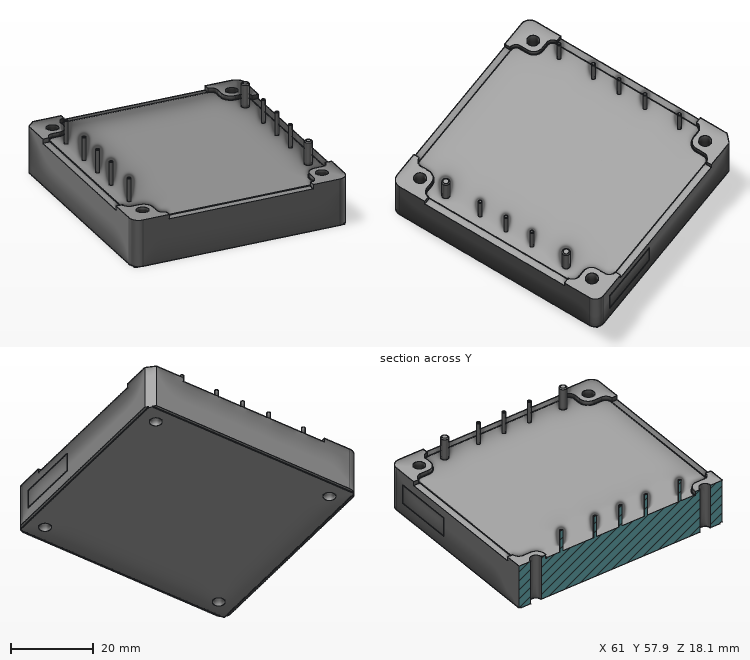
import cadquery as cq

LENGTH = 60.95
WIDTH = 57.9
HEIGHT = 18.15
CORNER_RADIUS = 2.5
CORNER_CHAMFER = 2.0

CASE_BOTTOM = 0.3
CASE_TOP = 12.8
RIM_DEPTH = 1.15
COVER_STEP = 0.25
RIM_TOP = CASE_TOP - RIM_DEPTH
COVER_TOP = RIM_TOP + COVER_STEP

BASE_INSET = 0.7

PAD_LENGTH = 8.1
PAD_WIDTH = 7.85
PAD_RADIUS = 2.5
PAD_FLARE_RADIUS = 1.75
RIM_WIDTH_X = 1.6
RIM_WIDTH_Y = 1.7
COVER_GAP = 0.25

HOLE_DIAMETER = 3.1
HOLE_X = 25.35
HOLE_Y = 24.1

PIN_ROW_Y = HOLE_Y
OUTER_PIN_X = 17.75
INNER_PIN_X = 7.6
SMALL_PIN_DIAMETER = 1.0
SMALL_PIN_CHAMFER = 0.2
LARGE_PIN_DIAMETER = 2.0
LARGE_PIN_CHAMFER = 0.3

LABEL_LENGTH = 16.95
LABEL_HEIGHT = 5.4
LABEL_Y = 15.4
LABEL_Z = 6.4
LABEL_DEPTH = 0.1


def block(length, width, bottom, top):
    """Box centred in X and Y between two levels."""
    return cq.Workplane("XY").workplane(offset=bottom).rect(length, width).extrude(top - bottom)


def case_outline(bottom, top):
    """Prism with three rounded corners and a chamfer at the -X -Y corner."""
    body = block(LENGTH, WIDTH, bottom, top)
    body = body.edges("|Z and (>X or >Y)").fillet(CORNER_RADIUS)
    return body.edges("|Z and <X and <Y").chamfer(CORNER_CHAMFER)


def cross(bottom, top, inset=0.0):
    """Rounded cross filling the space between the four pads, shrunk by an inset."""
    arm_x = LENGTH - 2 * (RIM_WIDTH_X + inset)
    arm_y = WIDTH - 2 * (RIM_WIDTH_Y + inset)
    pad_gap_x = LENGTH - 2 * (PAD_LENGTH + inset)
    pad_gap_y = WIDTH - 2 * (PAD_WIDTH + inset)
    flare_radius = PAD_FLARE_RADIUS - inset
    along_x = block(arm_x, pad_gap_y, bottom, top).edges("|Z").fillet(flare_radius)
    along_y = block(pad_gap_x, arm_y, bottom, top).edges("|Z").fillet(flare_radius)
    reach_x = pad_gap_x / 2 + flare_radius / 2
    reach_y = pad_gap_y / 2 + flare_radius / 2
    inner_corners = cq.selectors.BoxSelector((-reach_x, -reach_y, bottom), (reach_x, reach_y, top))
    shape = along_x.union(along_y)
    return shape.edges("|Z").edges(inner_corners).fillet(PAD_RADIUS + inset)


def rim_recess():
    """Space above the rim: the cross, opened straight out through all four sides."""
    open_x = LENGTH - 2 * (PAD_LENGTH + PAD_FLARE_RADIUS)
    open_y = WIDTH - 2 * (PAD_WIDTH + PAD_FLARE_RADIUS)
    recess = cross(RIM_TOP, CASE_TOP)
    recess = recess.union(block(LENGTH, open_y, RIM_TOP, CASE_TOP))
    return recess.union(block(open_x, WIDTH, RIM_TOP, CASE_TOP))


def base_plate():
    """Plate inset from the case sides and kept within the case corners."""
    plate = block(LENGTH - 2 * BASE_INSET, WIDTH - 2 * BASE_INSET, 0, CASE_BOTTOM)
    return plate.intersect(case_outline(0, CASE_BOTTOM))


def pins(points, diameter, chamfer):
    """Upright pins with chamfered tips, standing in the cover."""
    posts = cq.Workplane("XY").workplane(offset=RIM_TOP).pushPoints(points)
    return posts.circle(diameter / 2).extrude(HEIGHT - RIM_TOP).faces(">Z").chamfer(chamfer)


def label_recess():
    """Rectangular cutter for the label on the -X side."""
    cutter = cq.Workplane("XY").box(2 * LABEL_DEPTH, LABEL_LENGTH, LABEL_HEIGHT)
    return cutter.translate((-LENGTH / 2, LABEL_Y, LABEL_Z))


result = case_outline(CASE_BOTTOM, CASE_TOP).cut(rim_recess())
result = result.union(cross(RIM_TOP, COVER_TOP, COVER_GAP))
result = result.union(base_plate()).cut(label_recess())

holes = cq.Workplane("XY").rect(2 * HOLE_X, 2 * HOLE_Y, forConstruction=True).vertices()
result = result.cut(holes.circle(HOLE_DIAMETER / 2).extrude(CASE_TOP))

inner_columns = [-INNER_PIN_X, 0, INNER_PIN_X]
outer_columns = [-OUTER_PIN_X, OUTER_PIN_X]
large_points = [(x, PIN_ROW_Y) for x in outer_columns]
small_points = [(x, y) for x in inner_columns for y in (-PIN_ROW_Y, PIN_ROW_Y)]
small_points += [(x, -PIN_ROW_Y) for x in outer_columns]
result = result.union(pins(large_points, LARGE_PIN_DIAMETER, LARGE_PIN_CHAMFER))
result = result.union(pins(small_points, SMALL_PIN_DIAMETER, SMALL_PIN_CHAMFER))